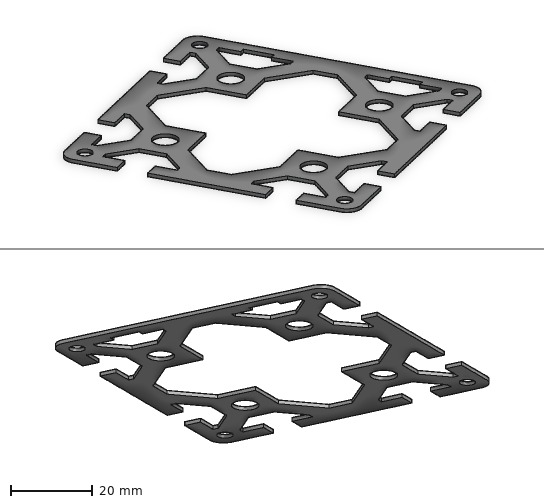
import cadquery as cq

side = 80.0
thickness = 1.0
corner_radius = 4.0
half = side / 2

pitch = 40.0
core_offset = pitch / 2
core_half = 7.6
core_bore = 6.8
corner_hole = 4.0
corner_hole_inset = 5.0
corner_hole_offset = half - corner_hole_inset

slot_opening = 8.2
lip = 4.6
slot_depth = half - core_offset - core_half
chamber_half = 10.0
chamber_wall = 1.5
floor_half = chamber_half - (slot_depth - lip - chamber_wall)
closed_skin = 3.0

rim = 7.6
window_half = half - rim
core_edge = core_offset - core_half
rim_half = 3.3
rib_start = window_half - (core_edge - rim_half)


def make_plate():
    plate = cq.Workplane("XY").rect(side, side).extrude(thickness)
    return plate.edges("|Z").fillet(corner_radius)


def make_slot(center, mouth_inset):
    """T-slot in the +Y edge; its mouth reaches to mouth_inset from that edge."""
    mouth = half - mouth_inset
    roof = half - lip
    floor = half - slot_depth
    mouth_half = slot_opening / 2
    right = [
        (mouth_half, mouth),
        (mouth_half, roof),
        (chamber_half, roof),
        (chamber_half, roof - chamber_wall),
        (floor_half, floor),
    ]
    left = [(-x, y) for x, y in reversed(right)]
    outline = [(center + x, y) for x, y in right + left]
    return cq.Workplane("XY").polyline(outline).close().extrude(thickness)


def make_window():
    """Central cross-shaped opening with 45 degree flanks along the ribs."""
    quadrant = [
        (window_half, rim_half),
        (rib_start, core_edge),
        (core_edge, core_edge),
        (core_edge, rib_start),
        (rim_half, window_half),
    ]
    outline = []
    for _ in range(4):
        outline += quadrant
        quadrant = [(-y, x) for x, y in quadrant]
    return cq.Workplane("XY").polyline(outline).close().extrude(thickness)


def make_holes(offset, diameter):
    points = [(x, y) for x in (-offset, offset) for y in (-offset, offset)]
    return cq.Workplane("XY").pushPoints(points).circle(diameter / 2).extrude(thickness)


result = make_plate().cut(make_window())

for edge_angle, mouth_inset in ((0, closed_skin), (90, 0), (180, 0), (270, 0)):
    for slot_center in (-core_offset, core_offset):
        slot = make_slot(slot_center, mouth_inset)
        result = result.cut(slot.rotate((0, 0, 0), (0, 0, 1), edge_angle))

result = result.cut(make_holes(core_offset, core_bore))
result = result.cut(make_holes(corner_hole_offset, corner_hole))